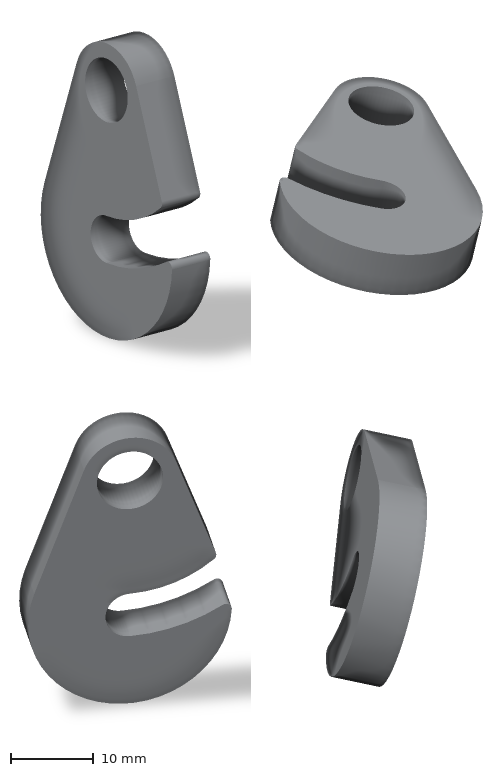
import cadquery as cq
import math

overall_height = 37.5
thickness = 5.95
body_radius = 12.5
eye_radius = 6.0
hole_radius = 4.05
slot_radius = 3.0
tip_fillet = 0.75

eye_height = overall_height - body_radius - eye_radius
half_thickness = thickness / 2


def extrude_profile(profile):
    """Extrude an XZ profile evenly to both sides of the XZ plane."""
    return profile.extrude(half_thickness, both=True)


def disc(radius, height=0):
    return extrude_profile(cq.Workplane("XZ").center(0, height).circle(radius))


def teardrop_body():
    """Two round ends joined by their common outer tangents."""
    tangent_angle = math.asin((body_radius - eye_radius) / eye_height)
    side = math.cos(tangent_angle)
    rise = math.sin(tangent_angle)
    profile = (
        cq.Workplane("XZ")
        .moveTo(-body_radius * side, body_radius * rise)
        .lineTo(-eye_radius * side, eye_height + eye_radius * rise)
        .threePointArc((0, eye_height + eye_radius), (eye_radius * side, eye_height + eye_radius * rise))
        .lineTo(body_radius * side, body_radius * rise)
        .threePointArc((0, -body_radius), (-body_radius * side, body_radius * rise))
        .close()
    )
    return extrude_profile(profile)


def hook_slot():
    """Round-ended slot that swings about the eye centre and opens on +X."""
    inner_radius = eye_height - slot_radius
    outer_radius = eye_height + slot_radius
    band = disc(outer_radius, eye_height).cut(disc(inner_radius, eye_height))
    quarter = extrude_profile(
        cq.Workplane("XZ").moveTo(0, eye_height).rect(outer_radius, -outer_radius, centered=False)
    )
    return band.intersect(quarter).union(disc(slot_radius))


hook = teardrop_body().cut(hook_slot()).cut(disc(hole_radius, eye_height))

mouth_edges = hook.edges("|Y").filter(lambda edge: edge.Center().x > eye_radius)
result = mouth_edges.fillet(tip_fillet)